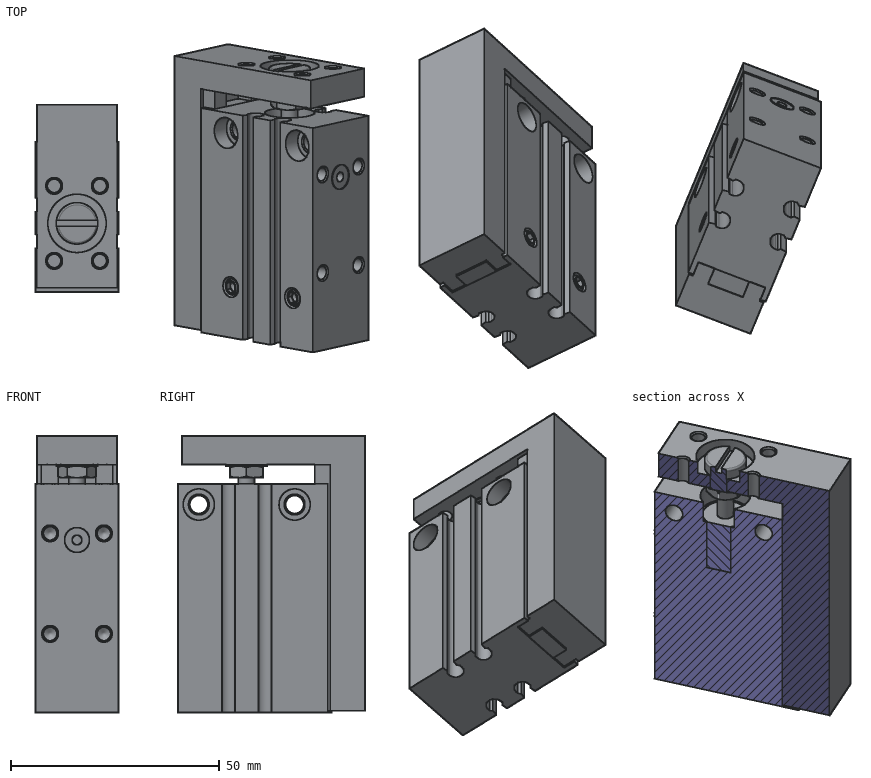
import cadquery as cq
import math

housing_width = 20.0
housing_depth = 36.05
housing_height = 55.0

table_width = 19.3
table_front_y = 1.0
table_back_y = 45.0
table_inner_y = 36.6
table_bottom_z = 0.45
table_top_z = 66.5
table_arm_thickness = 6.9
arm_bottom_z = table_top_z - table_arm_thickness

runner_outer_width = 17.3
runner_front_y = 32.85
rail_width = 9.0
rail_back_y = 37.05

axis_y = 16.5
bore_diameter = 10.9
bore_bottom_z = 36.2
gland_recess_diameter = 12.0
gland_recess_depth = 5.45
rod_diameter = 4.0
piston_top_z = housing_height - gland_recess_depth

thread_diameter = 3.25
thread_mouth_diameter = 4.0
thread_depth = 5.3
drill_tip_angle = 118.0
front_hole_spacing_x = 12.9
front_hole_heights = (18.95, 43.1)
table_hole_spacing_x = 11.0
table_hole_spacing_y = 18.0

port_height = 41.5
port_diameter = 2.3
port_seat_diameter = 6.0
port_seat_depth = 0.2

cross_hole_places = ((5.05, 50.0), (28.05, 50.0))
cross_hole_diameter = 4.3
cross_hole_mouth_diameter = 5.0
counterbore_diameter = 7.5
counterbore_depth = 4.4

groove_center_ys = (12.2, 20.95)
groove_mouth_width = 3.3
groove_neck_width = 2.9
groove_neck_depth = 1.5
groove_round_diameter = 4.0
groove_center_depth = 2.7

screw_places = ((26.55, 12.45, 0.0), (6.6, 12.45, 30.0))
screw_diameter = 4.0
screw_tip_diameter = 3.25
screw_length = 4.0
screw_hole_mouth_diameter = 5.0
socket_across_flats = 2.65
socket_depth = 1.3
socket_drill_diameter = 2.6

bush_diameter = 10.0
bush_bottom_z = 59.25
bush_top_z = 66.2
bush_edge_radius = 0.45
bush_recess_diameter = 14.0
bush_recess_depth = 3.2
slot_width = 1.45
slot_depth = 1.45
rod_top_z = 63.85
nut_across_flats = 8.0
nut_bottom_z = 56.45
nut_chamfer_angle = 30.0

half_width = housing_width / 2


def box(x_size, y_range, z_range):
    """Block centred on X = 0 between two Y and two Z values."""
    y0, y1 = y_range
    z0, z1 = z_range
    base = cq.Workplane("XY", origin=(0, y0, z0))
    return base.box(x_size, y1 - y0, z1 - z0, centered=(True, False, False))


def axial_cylinder(diameter, z0, z1):
    """Cylinder on the cylinder axis between two heights."""
    return cq.Workplane("XY", origin=(0, axis_y, z0)).circle(diameter / 2).extrude(z1 - z0)


def corner_distance(across_flats):
    """Corner-to-corner diameter of a hexagon."""
    return across_flats * 2 / math.sqrt(3)


def turned(profile, origin, direction):
    """Revolve (radius, depth) points about an axis that starts at origin and runs along direction."""
    x_direction = (0, 0, 1) if direction[2] == 0 else (1, 0, 0)
    normal = cq.Vector(*x_direction).cross(cq.Vector(*direction))
    plane = cq.Plane(origin=origin, xDir=x_direction, normal=normal.toTuple())
    return cq.Workplane(plane).polyline(profile).close().revolve(360, (0, 0), (0, 1))


def tip_height(diameter):
    """Height of the cone that a drill leaves at the bottom of a hole."""
    return diameter / 2 / math.tan(math.radians(drill_tip_angle / 2))


def mouth_profile(mouth_diameter, diameter, depth, bottom_depth):
    """Hole with a 45 degree mouth chamfer; bottom_depth exceeds depth for a drilled cone."""
    chamfer = (mouth_diameter - diameter) / 2
    return [
        (0, 0),
        (mouth_diameter / 2, 0),
        (diameter / 2, chamfer),
        (diameter / 2, depth),
        (0, bottom_depth),
    ]


def sensor_groove(side, y):
    """Keyhole groove with a tapered neck, open to the side face; side is -1 or 1."""
    mouth = groove_mouth_width / 2
    neck = groove_neck_width / 2
    radius = groove_round_diameter / 2
    flare_end = groove_neck_depth + radius - neck

    def at(depth, offset):
        return (side * (half_width - depth), y + offset)

    return (
        cq.Workplane("XY")
        .moveTo(*at(0, mouth))
        .lineTo(*at(groove_neck_depth, neck))
        .lineTo(*at(flare_end, radius))
        .lineTo(*at(groove_center_depth, radius))
        .threePointArc(at(groove_center_depth + radius, 0), at(groove_center_depth, -radius))
        .lineTo(*at(flare_end, -radius))
        .lineTo(*at(groove_neck_depth, -neck))
        .lineTo(*at(0, -mouth))
        .close()
        .extrude(housing_height)
    )


def cross_hole(y, z):
    """Through hole along X with a counterbore on each side and a chamfer on each counterbore floor."""
    chamfer = (cross_hole_mouth_diameter - cross_hole_diameter) / 2
    profile = [
        (0, 0),
        (counterbore_diameter / 2, 0),
        (counterbore_diameter / 2, counterbore_depth),
        (cross_hole_mouth_diameter / 2, counterbore_depth),
        (cross_hole_diameter / 2, counterbore_depth + chamfer),
        (cross_hole_diameter / 2, half_width),
        (0, half_width),
    ]
    left = turned(profile, (-half_width, y, z), (1, 0, 0))
    return left.union(left.mirror("YZ"))


def front_thread_hole(x, z):
    """Blind hole along Y with a chamfered mouth and a drilled cone."""
    bottom = thread_depth + tip_height(thread_diameter)
    profile = mouth_profile(thread_mouth_diameter, thread_diameter, thread_depth, bottom)
    return turned(profile, (x, 0, z), (0, 1, 0))


def air_port():
    """Shallow round seat and a hole that reaches the bore."""
    face = cq.Workplane("XZ", origin=(0, 0, port_height))
    seat = face.circle(port_seat_diameter / 2).extrude(-port_seat_depth)
    return seat.union(face.circle(port_diameter / 2).extrude(-axis_y))


def make_housing():
    """Housing block with the guide channel, bore, sensor grooves and all holes."""
    body = box(housing_width, (0, housing_depth), (0, housing_height))
    body = body.cut(box(runner_outer_width, (runner_front_y, housing_depth), (0, housing_height)))
    body = body.cut(axial_cylinder(bore_diameter, bore_bottom_z, housing_height))
    body = body.cut(axial_cylinder(gland_recess_diameter, piston_top_z, housing_height))
    for side in (-1, 1):
        for y in groove_center_ys:
            body = body.cut(sensor_groove(side, y))
        for z in front_hole_heights:
            body = body.cut(front_thread_hole(side * front_hole_spacing_x / 2, z))
    for y, z in cross_hole_places:
        body = body.cut(cross_hole(y, z))
    screw_hole = mouth_profile(screw_hole_mouth_diameter, screw_diameter, screw_length, screw_length)
    for y, z, _ in screw_places:
        body = body.cut(turned(screw_hole, (-half_width, y, z), (1, 0, 0)))
    return body.cut(air_port())


def make_rail():
    """Straight guide rail on the floor of the housing channel."""
    return box(rail_width, (runner_front_y, rail_back_y), (0, housing_height))


def make_table():
    """L-shaped table with two guide runners and the bush seat in its arm."""
    body = box(table_width, (table_inner_y, table_back_y), (table_bottom_z, table_top_z))
    body = body.union(box(table_width, (table_front_y, table_back_y), (arm_bottom_z, table_top_z)))
    body = body.union(box(runner_outer_width, (runner_front_y, table_back_y), (table_bottom_z, arm_bottom_z)))
    body = body.cut(box(rail_width, (runner_front_y, rail_back_y), (table_bottom_z, arm_bottom_z)))
    body = body.cut(axial_cylinder(bush_diameter, arm_bottom_z, table_top_z))
    body = body.cut(axial_cylinder(bush_recess_diameter, table_top_z - bush_recess_depth, table_top_z))
    thread_hole = mouth_profile(
        thread_mouth_diameter, thread_diameter, table_arm_thickness, table_arm_thickness
    )
    for x in (-table_hole_spacing_x / 2, table_hole_spacing_x / 2):
        for y in (axis_y - table_hole_spacing_y / 2, axis_y + table_hole_spacing_y / 2):
            body = body.cut(turned(thread_hole, (x, y, table_top_z), (0, 0, -1)))
    return body


def make_rod():
    """Piston rod with its piston filling the bore."""
    piston = axial_cylinder(bore_diameter, bore_bottom_z, piston_top_z)
    return piston.union(axial_cylinder(rod_diameter, piston_top_z, rod_top_z))


def make_nut():
    """Hexagon nut with corners along X and conically chamfered ends."""
    height = bush_bottom_z - nut_bottom_z
    corner_diameter = corner_distance(nut_across_flats)
    prism = cq.Workplane("XY", origin=(0, axis_y, nut_bottom_z)).polygon(6, corner_diameter).extrude(height)
    corner_drop = (corner_diameter - nut_across_flats) / 2 * math.tan(math.radians(nut_chamfer_angle))
    envelope = [
        (0, 0),
        (nut_across_flats / 2, 0),
        (corner_diameter / 2, corner_drop),
        (corner_diameter / 2, height - corner_drop),
        (nut_across_flats / 2, height),
        (0, height),
    ]
    nut = prism.intersect(turned(envelope, (0, axis_y, nut_bottom_z), (0, 0, 1)))
    return nut.cut(axial_cylinder(rod_diameter, nut_bottom_z, bush_bottom_z))


def make_bush():
    """Round bush with a screwdriver slot along X and a blind hole for the rod."""
    body = axial_cylinder(bush_diameter, bush_bottom_z, bush_top_z).faces(">Z").fillet(bush_edge_radius)
    slot_sides = (axis_y - slot_width / 2, axis_y + slot_width / 2)
    body = body.cut(box(bush_diameter, slot_sides, (bush_top_z - slot_depth, bush_top_z)))
    return body.cut(axial_cylinder(rod_diameter, bush_bottom_z, rod_top_z))


def make_set_screw(y, z, socket_turn):
    """Headless screw with a chamfered end and a hexagon socket over a drilled cone."""
    face = (-half_width, y, z)
    chamfer = (screw_diameter - screw_tip_diameter) / 2
    outline = [
        (0, 0),
        (screw_tip_diameter / 2, 0),
        (screw_diameter / 2, chamfer),
        (screw_diameter / 2, screw_length),
        (0, screw_length),
    ]
    drill_end = socket_depth + tip_height(socket_drill_diameter)
    drill_tip = [(0, socket_depth), (socket_drill_diameter / 2, socket_depth), (0, drill_end)]
    socket = (
        cq.Workplane(cq.Plane(origin=face, xDir=(0, 0, 1), normal=(1, 0, 0)))
        .transformed(rotate=(0, 0, socket_turn))
        .polygon(6, corner_distance(socket_across_flats))
        .extrude(socket_depth)
    )
    screw = turned(outline, face, (1, 0, 0))
    return screw.cut(socket).cut(turned(drill_tip, face, (1, 0, 0)))


housing = make_housing()
rail = make_rail()
table = make_table()
rod = make_rod()
nut = make_nut()
bush = make_bush()
set_screws = [make_set_screw(y, z, socket_turn) for y, z, socket_turn in screw_places]

result = cq.Compound.makeCompound(
    [
        housing.val(),
        rail.val(),
        table.val(),
        rod.val(),
        nut.val(),
        bush.val(),
        *[screw.val() for screw in set_screws],
    ]
)